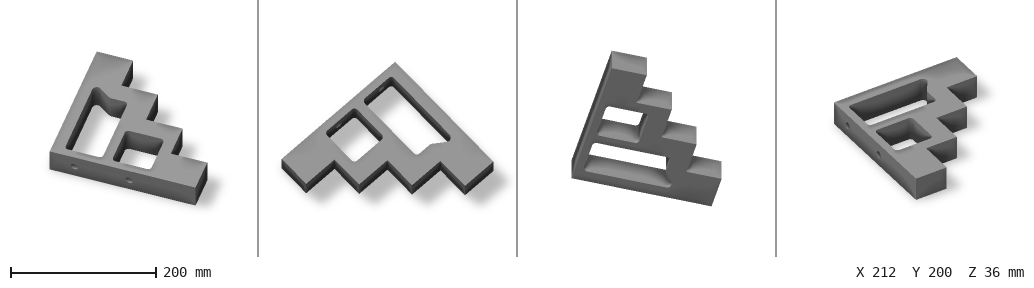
import cadquery as cq

length = 212.0
width = 200.0
thickness = 36.0
step_count = 4
step_run = length / step_count
step_rise = width / step_count

front_wall = 11.7
window_corner_radius = 5.3
tall_left = 17.5
tall_right = 72.3
tall_shoulder_y = 122.3
slope_foot_x = 46.0
peak_y = 142.0
peak_radius = 6.4
slope_foot_radius = 4.2
square_left = 86.3
square_right = 142.5
square_back = 72.0

hole_diameter = 10.5
hole_positions_x = (36.0, 116.0)


def stepped_plate():
    points = [(0, 0), (length, 0)]
    for step in range(step_count):
        tread_y = (step + 1) * step_rise
        points.append((length - step * step_run, tread_y))
        points.append((length - (step + 1) * step_run, tread_y))
    return cq.Workplane("XY").polyline(points).close().extrude(thickness)


def tall_window():
    """Window whose back edge rises along a slope to a rounded peak."""
    points = [
        (tall_left, front_wall),
        (tall_right, front_wall),
        (tall_right, tall_shoulder_y),
        (slope_foot_x, tall_shoulder_y),
        (tall_left, peak_y),
    ]
    window = cq.Workplane("XY").polyline(points).close().extrude(thickness)
    window = window.edges("|Z and >Y").fillet(peak_radius)
    slope_foot = cq.selectors.NearestToPointSelector((slope_foot_x, tall_shoulder_y, thickness / 2))
    window = window.edges(slope_foot).fillet(slope_foot_radius)
    square_corners = window.faces(">X or <Y").edges("|Z")
    return square_corners.fillet(window_corner_radius)


def square_window():
    window = cq.Workplane("XY").box(
        square_right - square_left, square_back - front_wall, thickness, centered=False
    )
    window = window.edges("|Z").fillet(window_corner_radius)
    return window.translate((square_left, front_wall, 0))


def wall_hole(x):
    """Hole running back from the front face and ending inside a window."""
    depth = front_wall + window_corner_radius
    hole = cq.Workplane("XZ").center(x, thickness / 2).circle(hole_diameter / 2)
    return hole.extrude(-depth)


result = stepped_plate().cut(tall_window()).cut(square_window())
for hole_x in hole_positions_x:
    result = result.cut(wall_hole(hole_x))